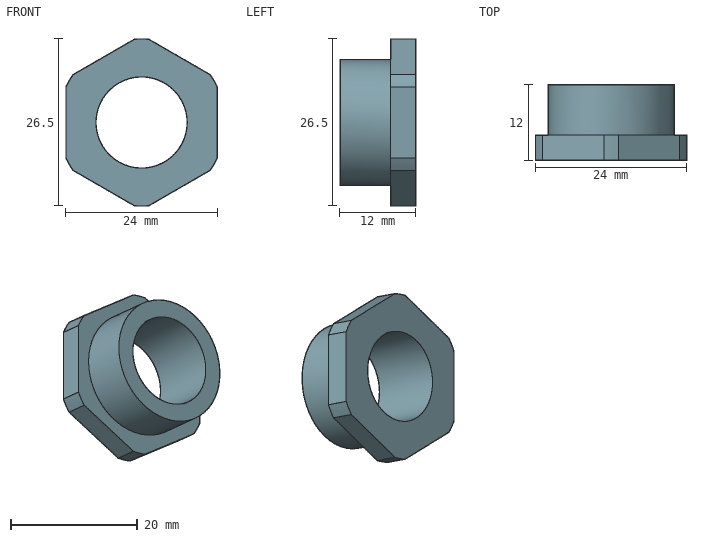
import cadquery as cq
import math

hexagon_sides = 6
across_flats = 24.0
corner_diameter = 26.5
flange_thickness = 4.0
sleeve_diameter = 20.0
sleeve_length = 8.0
bore_diameter = 14.4

across_corners = across_flats / math.cos(math.pi / hexagon_sides)
overall_length = flange_thickness + sleeve_length


def cylinder_along_y(diameter, length):
    """Cylinder about the Y axis, running from Y = 0 to Y = length."""
    return cq.Workplane("XZ").circle(diameter / 2).extrude(-length)


def make_flange():
    """Hexagon with flats facing +X and -X, its corners rounded to a circle."""
    quarter_turn = (0, 0, 90)
    hexagon = (
        cq.Workplane("XZ")
        .transformed(rotate=quarter_turn)
        .polygon(hexagon_sides, across_corners)
        .extrude(-flange_thickness)
    )
    return hexagon.intersect(cylinder_along_y(corner_diameter, flange_thickness))


sleeve = cylinder_along_y(sleeve_diameter, overall_length)
bore = cylinder_along_y(bore_diameter, overall_length)

result = make_flange().union(sleeve).cut(bore)